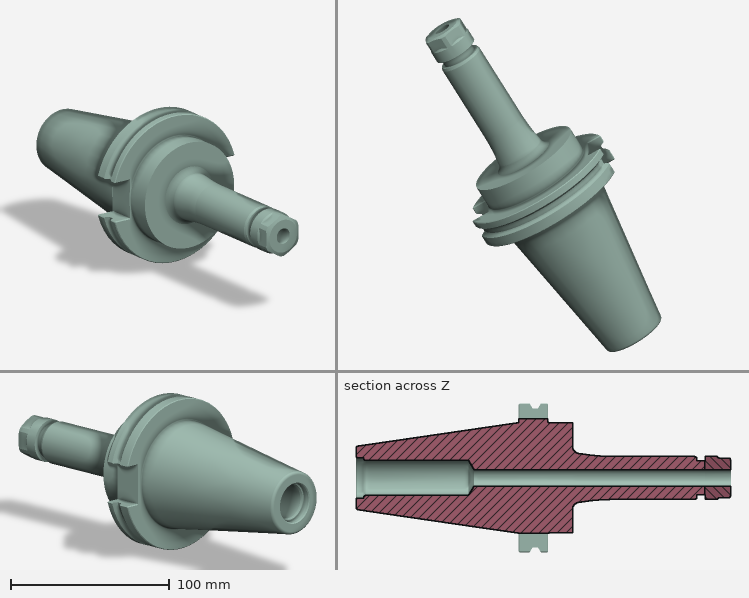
import cadquery as cq
import math


taper_ratio = 7 / 24
gauge_diameter = 69.8
taper_end = 102.0
small_end_rounding = 2.0

flange_diameter = 97.5
root_rounding = 0.7
flange_start = taper_end + root_rounding
flange_end = 121.2
rim_chamfer = 0.5
groove_middle = 113.2
groove_mouth_width = 7.0
groove_angle = 60
groove_depth = 3.0

slot_width = 25.3
slot_edge_chamfer = 0.6
front_slot_floor = 35.0
rear_slot_floor = 37.6

hub_diameter = 69.8
hub_end = 136.9
hub_fillet = 5.0
flare_start = 141.5
flare_end = 161.7
flare_rounding = 118.5
shank_diameter = 27.5
shank_end = 215.2
shank_chamfer_length = 1.7
shank_chamfer_depth = 0.7
neck_diameter = 21.8

mouth_diameter = 26.5
mouth_chamfer = 0.7
counterbore_diameter = 25.3
counterbore_depth = 4.7
ledge_diameter = 23.2
ledge_chamfer_length = 1.5
bore_diameter = 21.8
bore_depth = 71.0
drill_point_angle = 118
through_diameter = 10.2

nut_start = 220.2
nut_end = 236.8
nut_diameter = 27.5
nut_face_diameter = 21.5
nut_face_chamfer = 1.2
flat_count = 6
flat_start = 227.8
flat_run_out = 1.5
across_flats = 25.0


def tangent_rise(radius, length):
    """Rise of an arc over a length measured from the point where it runs parallel to the axis."""
    return radius - math.sqrt(radius**2 - length**2)


def turned(profile):
    """Revolve a closed (x, radius) profile about the X axis."""
    return profile.close().revolve(360, (0, 0, 0), (1, 0, 0))


def holder_blank():
    gauge = gauge_diameter / 2
    rim = flange_diameter / 2
    hub = hub_diameter / 2
    shank = shank_diameter / 2
    neck = neck_diameter / 2
    small_end = gauge - (taper_end - small_end_rounding) * taper_ratio / 2
    flare = shank + tangent_rise(flare_rounding, flare_end - flare_start)
    fillet_top = flare + tangent_rise(hub_fillet, flare_start - hub_end)
    profile = (
        cq.Workplane("XY")
        .lineTo(0, small_end - small_end_rounding)
        .radiusArc((small_end_rounding, small_end), small_end_rounding)
        .lineTo(taper_end, gauge)
        .radiusArc((flange_start, gauge + root_rounding), -root_rounding)
        .lineTo(flange_start, rim - rim_chamfer)
        .lineTo(flange_start + rim_chamfer, rim)
        .lineTo(flange_end - rim_chamfer, rim)
        .lineTo(flange_end, rim - rim_chamfer)
        .lineTo(flange_end, hub + root_rounding)
        .radiusArc((flange_end + root_rounding, hub), -root_rounding)
        .lineTo(hub_end, hub)
        .lineTo(hub_end, fillet_top)
        .radiusArc((flare_start, flare), -hub_fillet)
        .radiusArc((flare_end, shank), -flare_rounding)
        .lineTo(shank_end - shank_chamfer_length, shank)
        .lineTo(shank_end, shank - shank_chamfer_depth)
        .lineTo(shank_end, neck)
        .lineTo(nut_start, neck)
        .lineTo(nut_start, 0)
    )
    return turned(profile)


def gripper_groove():
    rim = flange_diameter / 2
    half_mouth = groove_mouth_width / 2
    half_floor = half_mouth - groove_depth * math.tan(math.radians(groove_angle / 2))
    profile = (
        cq.Workplane("XY")
        .moveTo(groove_middle - half_mouth, rim)
        .lineTo(groove_middle - half_floor, rim - groove_depth)
        .lineTo(groove_middle + half_floor, rim - groove_depth)
        .lineTo(groove_middle + half_mouth, rim)
    )
    return turned(profile)


def bore():
    mouth = mouth_diameter / 2
    counterbore = counterbore_diameter / 2
    straight = bore_diameter / 2
    through = through_diameter / 2
    point_length = (straight - through) / math.tan(math.radians(drill_point_angle / 2))
    profile = (
        cq.Workplane("XY")
        .lineTo(0, mouth)
        .lineTo(mouth_chamfer, counterbore)
        .lineTo(counterbore_depth, counterbore)
        .lineTo(counterbore_depth, ledge_diameter / 2)
        .lineTo(counterbore_depth + ledge_chamfer_length, straight)
        .lineTo(bore_depth, straight)
        .lineTo(bore_depth + point_length, through)
        .lineTo(nut_start, through)
        .lineTo(nut_start, 0)
    )
    return turned(profile)


def cut_drive_slot(holder, side, floor):
    """Cut a slot through the flange on one side (-1 or 1) along Y and bevel its outer edges."""
    length = flange_end - flange_start
    height = flange_diameter / 2
    middle = flange_start + length / 2
    cutter = cq.Workplane("XY").box(length, height, slot_width)
    holder = holder.cut(cutter.translate((middle, side * (floor + height / 2), 0)))
    margin = slot_edge_chamfer / 2
    for wall in (-slot_width / 2, slot_width / 2):
        inner_corner = (flange_start - margin, side * (floor + margin), wall - margin)
        outer_corner = (flange_end + margin, side * flange_diameter, wall + margin)
        wall_edges = cq.selectors.BoxSelector(inner_corner, outer_corner)
        holder = holder.edges(wall_edges).chamfer(slot_edge_chamfer)
    return holder


def make_holder():
    holder = holder_blank()
    holder = cut_drive_slot(holder, -1, front_slot_floor)
    holder = cut_drive_slot(holder, 1, rear_slot_floor)
    return holder.cut(gripper_groove()).cut(bore())


def nut_blank():
    outer = nut_diameter / 2
    profile = (
        cq.Workplane("XY")
        .moveTo(nut_start, 0)
        .lineTo(nut_start, outer)
        .lineTo(nut_end - nut_face_chamfer, outer)
        .lineTo(nut_end, nut_face_diameter / 2)
        .lineTo(nut_end, 0)
    )
    return turned(profile)


def flat_run_out_cone():
    """Cone that the wrench flats leave standing where they run out into the nut's rim."""
    profile = (
        cq.Workplane("XY")
        .moveTo(flat_start, 0)
        .lineTo(flat_start, nut_diameter / 2)
        .lineTo(flat_start + flat_run_out, across_flats / 2)
        .lineTo(flat_start + flat_run_out, 0)
    )
    return turned(profile)


def wrench_flat(angle):
    length = nut_end - flat_start
    height = nut_diameter / 2
    cutter = cq.Workplane("XY").box(length, height, nut_diameter)
    cutter = cutter.translate((flat_start + length / 2, (across_flats + height) / 2, 0))
    return cutter.cut(flat_run_out_cone()).rotate((0, 0, 0), (1, 0, 0), angle)


def make_nut():
    nut = nut_blank()
    for i in range(flat_count):
        nut = nut.cut(wrench_flat(i * 360 / flat_count))
    return nut.faces("<X").workplane(centerOption="CenterOfBoundBox").hole(through_diameter)


holder = make_holder()
nut = make_nut()

result = cq.Compound.makeCompound([holder.val(), nut.val()])